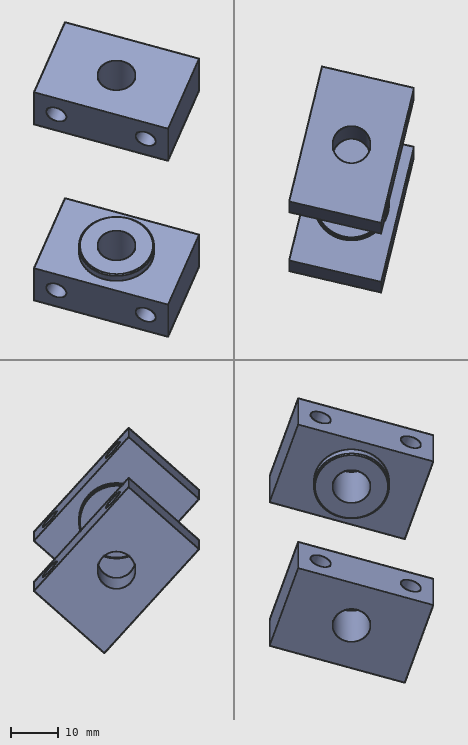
import cadquery as cq

total_height = 71.0
block_length = 30.0
block_width = 20.0
block_height = 11.0

boss_diameter = 16.0
boss_height = 2.0
boss_chamfer = 0.3

bore_diameter = 8.0
cross_hole_diameter = 4.5
cross_hole_spacing = 20.0


def make_bearing_block():
    """Block resting on Z = 0 with its boss pointing up."""
    block = cq.Workplane("XY").box(
        block_length, block_width, block_height, centered=(True, True, False)
    )
    boss = (
        cq.Workplane("XY")
        .workplane(offset=block_height)
        .circle(boss_diameter / 2)
        .extrude(boss_height)
        .faces(">Z")
        .edges()
        .chamfer(boss_chamfer)
    )
    bore = cq.Workplane("XY").circle(bore_diameter / 2).extrude(block_height + boss_height)
    cross_holes = (
        cq.Workplane("XZ")
        .pushPoints([(side * cross_hole_spacing / 2, block_height / 2) for side in (-1, 1)])
        .circle(cross_hole_diameter / 2)
        .extrude(block_width / 2, both=True)
    )
    return block.union(boss).cut(bore).cut(cross_holes)


lower_block = make_bearing_block()
upper_block = make_bearing_block().mirror("XY", (0, 0, total_height / 2))

result = cq.Compound.makeCompound([lower_block.val(), upper_block.val()])